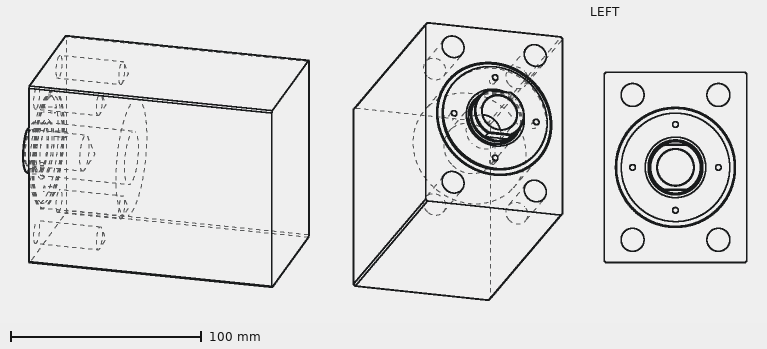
import cadquery as cq
import math


total_length = 142.0
rod_reach = 10.0
housing_length = total_length - rod_reach
housing_width = 75.0
housing_height = 100.0
housing_edge_chamfer = 1.0

mount_hole_diameter = 12.0
mount_hole_depth = 34.1
mount_spacing_y = 45.0
mount_spacing_z = 76.0

gland_depth = 45.5
gland_diameter = 61.9
pocket_chamfer = 0.5
collar_diameter = 57.0
collar_reach = 2.0
wiper_mouth_diameter = 31.8
wiper_floor_diameter = 28.8
wiper_mouth_depth = (wiper_mouth_diameter - wiper_floor_diameter) / 2

spanner_hole_count = 4
spanner_hole_diameter = 3.0
spanner_hole_depth = 6.0
spanner_circle_diameter = 45.0

rod_diameter = 28.1
rod_chamfer = 0.5
shoulder_reach = 4.0
tip_diameter = rod_diameter - 2 * rod_chamfer
tip_flat_width = 24.1
rod_hole_diameter = 19.0
rod_hole_chamfer = 0.3
rod_hole_depth = 29.8

drill_point_angle = 118.0


def cylinder(diameter, x_start, x_end, y=0.0, z=0.0):
    """Cylinder parallel to X between two X positions."""
    return (
        cq.Workplane("YZ", origin=(x_start, 0, 0))
        .center(y, z)
        .circle(diameter / 2)
        .extrude(x_end - x_start)
    )


def drilled_hole(diameter, x_mouth, depth, y=0.0, z=0.0):
    """Cutter for a blind hole along +X that ends in a conical drill point."""
    radius = diameter / 2
    point_length = radius / math.tan(math.radians(drill_point_angle / 2))
    half_profile = (
        cq.Workplane("XY")
        .moveTo(x_mouth, 0)
        .lineTo(x_mouth, radius)
        .lineTo(x_mouth + depth, radius)
        .lineTo(x_mouth + depth + point_length, 0)
        .close()
    )
    return half_profile.revolve(360, (0, 0, 0), (1, 0, 0)).translate((0, y, z))


def countersink(mouth_diameter, inner_diameter, x_mouth, depth):
    """Cutter for a conical mouth that narrows along +X."""
    half_profile = (
        cq.Workplane("XY")
        .moveTo(x_mouth, 0)
        .lineTo(x_mouth, mouth_diameter / 2)
        .lineTo(x_mouth + depth, inner_diameter / 2)
        .lineTo(x_mouth + depth, 0)
        .close()
    )
    return half_profile.revolve(360, (0, 0, 0), (1, 0, 0))


def make_housing():
    """Rectangular block with the gland pocket and four mounting holes."""
    block = (
        cq.Workplane("XY")
        .box(housing_length, housing_width, housing_height, centered=(False, True, True))
        .edges("|X")
        .chamfer(housing_edge_chamfer)
    )
    pocket_mouth_diameter = gland_diameter + 2 * pocket_chamfer
    block = block.cut(cylinder(gland_diameter, 0, gland_depth))
    block = block.cut(countersink(pocket_mouth_diameter, gland_diameter, 0, pocket_chamfer))
    for y in (-mount_spacing_y / 2, mount_spacing_y / 2):
        for z in (-mount_spacing_z / 2, mount_spacing_z / 2):
            block = block.cut(drilled_hole(mount_hole_diameter, 0, mount_hole_depth, y, z))
    return block


def make_gland():
    """Stepped bush that fills the pocket and guides the rod."""
    gland = cylinder(gland_diameter, 0, gland_depth)
    gland = gland.union(cylinder(collar_diameter, -collar_reach, gland_depth))
    gland = gland.cut(cylinder(rod_diameter, -collar_reach, gland_depth))
    gland = gland.cut(
        countersink(wiper_mouth_diameter, wiper_floor_diameter, -collar_reach, wiper_mouth_depth)
    )
    circle_radius = spanner_circle_diameter / 2
    for index in range(spanner_hole_count):
        angle = 2 * math.pi * index / spanner_hole_count
        y = circle_radius * math.cos(angle)
        z = circle_radius * math.sin(angle)
        gland = gland.cut(
            drilled_hole(spanner_hole_diameter, -collar_reach, spanner_hole_depth, y, z)
        )
    return gland


def make_rod():
    """Rod with a chamfered shoulder, a tip with two wrench flats and a blind hole."""
    shank = cylinder(rod_diameter, -shoulder_reach, gland_depth)
    shank = shank.faces("<X").edges().chamfer(rod_chamfer)
    flats = cq.Workplane("XY").box(2 * rod_reach, rod_diameter, tip_flat_width)
    tip = cylinder(tip_diameter, -rod_reach, -shoulder_reach).intersect(flats)
    tip = tip.faces("<X").edges().chamfer(rod_chamfer)
    hole_mouth_diameter = rod_hole_diameter + 2 * rod_hole_chamfer
    rod = shank.union(tip)
    rod = rod.cut(drilled_hole(rod_hole_diameter, -rod_reach, rod_hole_depth))
    return rod.cut(
        countersink(hole_mouth_diameter, rod_hole_diameter, -rod_reach, rod_hole_chamfer)
    )


housing = make_housing()
gland = make_gland()
rod = make_rod()

result = cq.Compound.makeCompound([housing.val(), gland.val(), rod.val()])